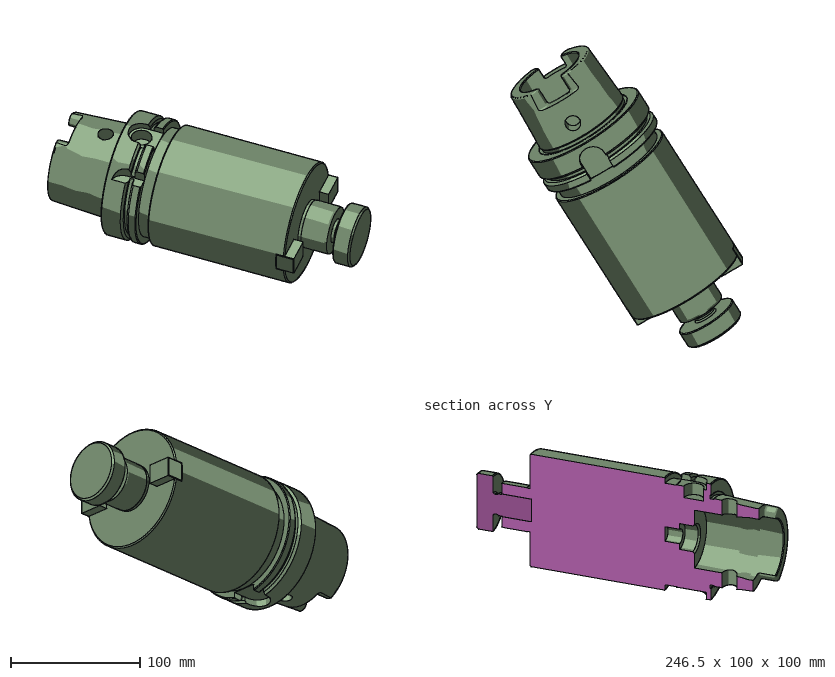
import cadquery as cq
import math

LENGTH = 246.5

TAPER_END = 47.3
TAPER_MOUTH_RADIUS = 35.5
TAPER_BASE_RADIUS = 38.0
MOUTH_FILLET = 1.5
RELIEF_RADIUS = 37.2
RELIEF_START = 48.3
FACE_RELIEF_RADIUS = 40.0
FACE_RELIEF_DEPTH = 0.7

FLANGE_START = 50.0
FLANGE_RADIUS = 50.0
FLANGE_END = 79.0
FLANGE_CHAMFER = 0.7
GROOVE_RADIUS = 45.3
GROOVE_MOUTH_START = 66.3
GROOVE_START = 68.0
GROOVE_END = 71.2
GROOVE_MOUTH_END = 73.0
GROOVE_MOUTH_DEPTH = 2.0

NECK_RADIUS = 43.9
BODY_START = 88.5
BODY_END = 201.8
BODY_RADIUS = 97.0 / 2
BODY_START_CHAMFER = 0.7
BODY_END_CHAMFER = 1.0
SPIGOT_END = 225.5
SPIGOT_RADIUS = 38.2 / 2
SPIGOT_RELIEF_RADIUS = 37.7 / 2
SPIGOT_RELIEF_LENGTH = 2.5
SPIGOT_LEAD_LENGTH = 1.5

BORE_RADIUS = 53.0 / 2
BORE_CHAMFER = 0.7
BORE_STRAIGHT = 19.7
BORE_CONE_END = 34.5
BORE_BOTTOM_RADIUS = 24.6
BORE_DEPTH = 64.0
TUBE_HOLE_RADIUS = 10.8
TUBE_HOLE_CHAMFER = 1.5
TUBE_HOLE_DEPTH = 12.3
CENTRE_HOLE_RADIUS = 12.0 / 2
CENTRE_HOLE_DEPTH = 12.3

CROSS_HOLE_X = 35.0
CROSS_HOLE_DIAMETER = 12.0

DRIVE_SLOT_HALF_WIDTH = 10.0
DRIVE_SLOT_SHOULDER = 31.3
DRIVE_SLOT_CORNER_RADIUS = 5.7
DRIVE_SLOT_FLOOR_FILLET = 2.0
DRIVE_SLOT_CLEARANCE_HALF_WIDTH = 24.6
DRIVE_SLOT_CLEARANCE_TOP = 49.3
UPPER_DRIVE_SLOT_DEPTH = 10.0
LOWER_DRIVE_SLOT_DEPTH = 15.0

KEYWAY_CENTRE_X = 64.8
KEYWAY_WIDTH = 20.7
KEYWAY_FLOOR = 44.0
CHIP_HOLE_DIAMETER = 16.0
CHIP_HOLE_DEPTH = 9.9
NOTCH_WALL_Y = 31.3
NOTCH_FLOOR_Z = 31.3
NOTCH_RADIUS = 10.0

KEY_START = 194.7
KEY_END = 209.5
KEY_WIDTH = 15.8
KEY_INNER_Y = 27.5
KEY_CHAMFER = 0.5
KEY_OUTER_Y = math.sqrt(BODY_RADIUS**2 - (KEY_WIDTH / 2) ** 2)

SHANK_RADIUS = 19.0 / 2
SHANK_ENGAGEMENT = 24.6
SHANK_GROOVE_RADIUS = 17.2 / 2
SHANK_COLLAR_LENGTH = 2.5
SHANK_STEP = 1.5
HEAD_START = 232.4
HEAD_RADIUS = 24.1
HEAD_INNER_CHAMFER = 0.7
HEAD_OUTER_CHAMFER = 1.5


def revolve_about_x(points):
    """Solid of revolution about the X axis from (x, radius) points."""
    return cq.Workplane("XY").polyline(points).close().revolve(360, (0, 0, 0), (1, 0, 0))


def holder_blank():
    """Outside of the holder, from the taper mouth to the spigot end."""
    return revolve_about_x([
        (0, 0),
        (0, TAPER_MOUTH_RADIUS),
        (TAPER_END, TAPER_BASE_RADIUS),
        (RELIEF_START, RELIEF_RADIUS),
        (FLANGE_START + FACE_RELIEF_DEPTH, RELIEF_RADIUS),
        (FLANGE_START + FACE_RELIEF_DEPTH, FACE_RELIEF_RADIUS),
        (FLANGE_START, FACE_RELIEF_RADIUS),
        (FLANGE_START, FLANGE_RADIUS - FLANGE_CHAMFER),
        (FLANGE_START + FLANGE_CHAMFER, FLANGE_RADIUS),
        (GROOVE_MOUTH_START, FLANGE_RADIUS),
        (GROOVE_START, FLANGE_RADIUS - GROOVE_MOUTH_DEPTH),
        (GROOVE_START, GROOVE_RADIUS),
        (GROOVE_END, GROOVE_RADIUS),
        (GROOVE_END, FLANGE_RADIUS - GROOVE_MOUTH_DEPTH),
        (GROOVE_MOUTH_END, FLANGE_RADIUS),
        (FLANGE_END - FLANGE_CHAMFER, FLANGE_RADIUS),
        (FLANGE_END, FLANGE_RADIUS - FLANGE_CHAMFER),
        (FLANGE_END, NECK_RADIUS),
        (BODY_START, NECK_RADIUS),
        (BODY_START, BODY_RADIUS - BODY_START_CHAMFER),
        (BODY_START + BODY_START_CHAMFER, BODY_RADIUS),
        (BODY_END - BODY_END_CHAMFER, BODY_RADIUS),
        (BODY_END, BODY_RADIUS - BODY_END_CHAMFER),
        (BODY_END, SPIGOT_RELIEF_RADIUS),
        (BODY_END + SPIGOT_RELIEF_LENGTH, SPIGOT_RELIEF_RADIUS),
        (BODY_END + SPIGOT_RELIEF_LENGTH, SPIGOT_RADIUS),
        (SPIGOT_END - SPIGOT_LEAD_LENGTH, SPIGOT_RADIUS),
        (SPIGOT_END, SPIGOT_RELIEF_RADIUS),
        (SPIGOT_END, 0),
    ])


def bore_cutter():
    """Stepped bore of the shank with the coolant tube hole and the centre hole."""
    tube_hole_end = BORE_DEPTH + TUBE_HOLE_DEPTH
    return revolve_about_x([
        (0, 0),
        (0, BORE_RADIUS + BORE_CHAMFER),
        (BORE_CHAMFER, BORE_RADIUS),
        (BORE_STRAIGHT, BORE_RADIUS),
        (BORE_CONE_END, BORE_BOTTOM_RADIUS),
        (BORE_DEPTH, BORE_BOTTOM_RADIUS),
        (BORE_DEPTH, TUBE_HOLE_RADIUS + TUBE_HOLE_CHAMFER),
        (BORE_DEPTH + TUBE_HOLE_CHAMFER, TUBE_HOLE_RADIUS),
        (tube_hole_end, TUBE_HOLE_RADIUS),
        (tube_hole_end, CENTRE_HOLE_RADIUS),
        (tube_hole_end + CENTRE_HOLE_DEPTH, CENTRE_HOLE_RADIUS),
        (tube_hole_end + CENTRE_HOLE_DEPTH, 0),
    ])


def drive_slot_cutter(depth):
    """Slot through the +Z wall of the shank mouth, opening outwards over rounded corners."""
    half = DRIVE_SLOT_HALF_WIDTH
    radius = DRIVE_SLOT_CORNER_RADIUS
    shoulder = DRIVE_SLOT_SHOULDER
    arc_offset = radius * (1 - math.sqrt(0.5))
    side = DRIVE_SLOT_CLEARANCE_HALF_WIDTH
    top = DRIVE_SLOT_CLEARANCE_TOP
    return (
        cq.Workplane("YZ")
        .moveTo(-half, 0)
        .lineTo(-half, shoulder - radius)
        .threePointArc((-half - arc_offset, shoulder - arc_offset), (-half - radius, shoulder))
        .lineTo(-side, shoulder)
        .lineTo(-side, top)
        .lineTo(side, top)
        .lineTo(side, shoulder)
        .lineTo(half + radius, shoulder)
        .threePointArc((half + arc_offset, shoulder - arc_offset), (half, shoulder - radius))
        .lineTo(half, 0)
        .close()
        .extrude(depth)
        .faces(">X")
        .edges()
        .fillet(DRIVE_SLOT_FLOOR_FILLET)
    )


def cross_hole_cutter():
    """Radial hole through both walls of the shank."""
    return (
        cq.Workplane("XY", origin=(CROSS_HOLE_X, 0, -FLANGE_RADIUS))
        .circle(CROSS_HOLE_DIAMETER / 2)
        .extrude(2 * FLANGE_RADIUS)
    )


def round_ended_cutter(centre_y, floor_z, width):
    """Upright milled slot with a round end, open towards +Z and the back of the flange."""
    height = FLANGE_RADIUS - floor_z
    run = FLANGE_END - KEYWAY_CENTRE_X
    base = cq.Workplane("XY", origin=(KEYWAY_CENTRE_X, centre_y, floor_z))
    round_end = base.circle(width / 2).extrude(height)
    straight = base.center(run / 2, 0).rect(run, width).extrude(height)
    return round_end.union(straight)


def keyway_cutter():
    """Keyway at the top of the flange."""
    return round_ended_cutter(0, KEYWAY_FLOOR, KEYWAY_WIDTH)


def chip_hole_cutter():
    """Blind hole in the floor of the upper keyway."""
    return (
        cq.Workplane("XY", origin=(KEYWAY_CENTRE_X, 0, KEYWAY_FLOOR - CHIP_HOLE_DEPTH))
        .circle(CHIP_HOLE_DIAMETER / 2)
        .extrude(CHIP_HOLE_DEPTH)
    )


def notch_cutter():
    """Indexing notch across the upper -Y corner of the flange."""
    return round_ended_cutter(-NOTCH_WALL_Y - NOTCH_RADIUS, NOTCH_FLOOR_Z, 2 * NOTCH_RADIUS)


def turned_over(shape):
    """Copy turned half a revolution about the X axis."""
    return shape.rotate((0, 0, 0), (1, 0, 0), 180)


def drive_key():
    """Key with a chamfered outer face at the -Y side of the main cylinder's end."""
    return cq.Workplane("XY").box(
        KEY_END - KEY_START, KEY_OUTER_Y - KEY_INNER_Y, KEY_WIDTH, centered=(False, False, True)
    ).translate((KEY_START, -KEY_OUTER_Y, 0)).faces("<Y").edges().chamfer(KEY_CHAMFER)


def screw_hole_cutter():
    """Blind hole in the spigot that takes the screw shank."""
    return (
        cq.Workplane("YZ", origin=(SPIGOT_END - SHANK_ENGAGEMENT, 0, 0))
        .circle(SHANK_RADIUS)
        .extrude(SHANK_ENGAGEMENT)
    )


def key_pocket_cutter():
    """Pocket for one drive key, open to the outside of the main cylinder."""
    return cq.Workplane("XY").box(
        BODY_END - KEY_START, BODY_RADIUS - KEY_INNER_Y, KEY_WIDTH, centered=(False, False, True)
    ).translate((KEY_START, -BODY_RADIUS, 0))


def make_holder():
    """Tool holder: taper shank, flange, main cylinder and spigot in one solid."""
    slotted_blank = (
        holder_blank()
        .cut(drive_slot_cutter(UPPER_DRIVE_SLOT_DEPTH))
        .cut(turned_over(drive_slot_cutter(LOWER_DRIVE_SLOT_DEPTH)))
    )
    holder = (
        slotted_blank.faces("<X")
        .edges()
        .fillet(MOUTH_FILLET)
        .cut(bore_cutter())
        .cut(cross_hole_cutter())
        .cut(keyway_cutter())
        .cut(turned_over(keyway_cutter()))
        .cut(chip_hole_cutter())
        .cut(notch_cutter())
        .cut(screw_hole_cutter())
    )
    return holder.cut(key_pocket_cutter()).cut(turned_over(key_pocket_cutter()))


def make_screw():
    """Retaining screw: shank with a groove below a chamfered round head."""
    groove_start = SPIGOT_END + SHANK_COLLAR_LENGTH
    return revolve_about_x([
        (SPIGOT_END - SHANK_ENGAGEMENT, 0),
        (SPIGOT_END - SHANK_ENGAGEMENT, SHANK_RADIUS),
        (groove_start, SHANK_RADIUS),
        (groove_start + SHANK_STEP, SHANK_GROOVE_RADIUS),
        (HEAD_START - SHANK_STEP, SHANK_GROOVE_RADIUS),
        (HEAD_START, SHANK_RADIUS),
        (HEAD_START, HEAD_RADIUS - HEAD_INNER_CHAMFER),
        (HEAD_START + HEAD_INNER_CHAMFER, HEAD_RADIUS),
        (LENGTH - HEAD_OUTER_CHAMFER, HEAD_RADIUS),
        (LENGTH, HEAD_RADIUS - HEAD_OUTER_CHAMFER),
        (LENGTH, 0),
    ])


holder = make_holder()
screw = make_screw()
keys = [drive_key(), turned_over(drive_key())]

result = cq.Compound.makeCompound([
    holder.solids().val(),
    screw.solids().val(),
    *[key.solids().val() for key in keys],
])